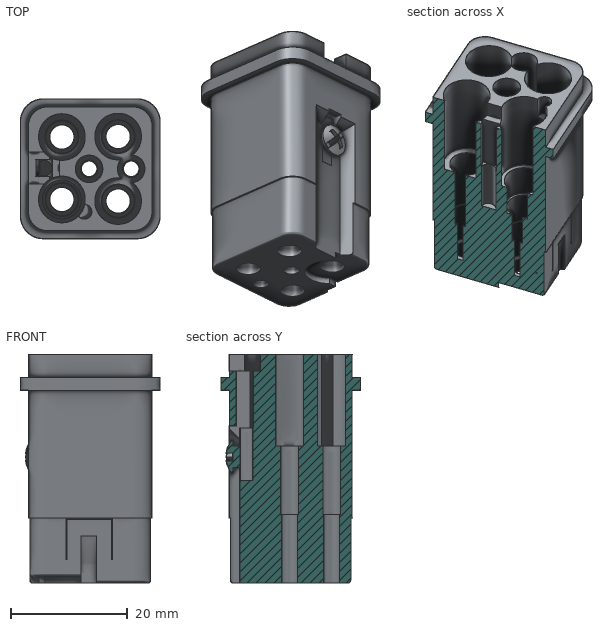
import cadquery as cq

TOTAL_HEIGHT = 39.2
FLANGE_WIDTH = 24.0
FLANGE_RADIUS = 3.95
FLANGE_BOTTOM = 33.05
FLANGE_TOP = 35.28
BODY_WIDTH = 21.15
BODY_RADIUS = 3.15
FOOT_STEP = 0.255
FOOT_HEIGHT = 11.15
FOOT_EDGE_RADIUS = 0.5

BODY_FACE = BODY_WIDTH / 2
FOOT_FACE = BODY_FACE - FOOT_STEP

RELIEF_HEIGHT = 1.1
RELIEF_X = -1.6
RELIEF_Y = -1.92
RELIEF_RADIUS = 4.3
RELIEF_CENTRE = (-4.63, -4.9)

CHANNEL_TOP = 26.5
CHANNEL_WIDTH = 9.7
CHANNEL_DEPTH = 1.8
CHANNEL_FLOOR_X = CHANNEL_DEPTH - BODY_FACE
CHANNEL_END = CHANNEL_TOP - CHANNEL_DEPTH

SCREW_Z = 21.65
SCREW_HEAD_RADIUS = 2.8
SCREW_APEX_X = -11.15
SCREW_RIM_X = -10.25
SCREW_SHANK_RADIUS = 1.9
SCREW_RIM_THICKNESS = 0.35
DRIVE_WIDTH = 0.85
DRIVE_CROSS_LENGTH = 3.45
DRIVE_CROSS_FLOOR_X = -9.95
DRIVE_SLOT_FLOOR_X = -10.3
DRIVE_ANGLE = 45

ENTRY_FLOOR = 36.38
ENTRY_Y = 0.1
ENTRY_WIDTH = 5.5
ENTRY_END_X = -5.25
POCKET_WIDTH = 2.9
POCKET_START_X = -9.33
POCKET_END_X = -6.45
POCKET_GAP_X = -7.0
POCKET_GAP_WIDTH = 4.3
TERMINAL_TOP = 26.6
WINDOW_TOP = 26.95
WIRE_HOLE_X = -7.88
WIRE_HOLE_RADIUS = 1.35
WIRE_HOLE_BOTTOM = 17.65
WIRE_HOLE_WALL = 0.15

POWER_STEPS = [(4.0, 23.52), (2.9, 11.75), (2.8, 3.92), (2.08, 0.0)]
EARTH_STEPS = [(4.0, 23.52), (3.35, 17.65)] + POWER_STEPS[1:]
SIGNAL_STEPS = [(2.35, 23.52), (1.5, 11.75), (1.35, 0.0)]
POWER_CENTRES = [(-4.85, 5.45), (4.8, 5.53), (4.8, -5.53)]
EARTH_CENTRE = (-4.85, -5.25)
SIGNAL_CENTRES = [(-0.2, 0.0), (7.0, 0.0)]
KEY_CENTRE = (-0.98, -7.35)
KEY_RADIUS = 1.25
KEY_DEPTH = 3.92

SLIT_LEFT = -4.15
SLIT_RIGHT = 3.8
SLIT_BOTTOM = 4.08
SLIT_WIDTH = 0.2
SLIT_DEPTH = 0.6
TONGUE_SLOT_RIGHT = 1.05
TONGUE_SLOT_TOP = 8.08
TONGUE_RAMP_BOTTOM = 3.35
TONGUE_SLOT_DEPTH = 0.9
TONGUE_SLOT_LIP = 0.1


def box(x_range, y_range, z_range):
    """Box between two limits along each axis."""
    spans = [high - low for low, high in (x_range, y_range, z_range)]
    corner = (x_range[0], y_range[0], z_range[0])
    return cq.Workplane("XY").box(*spans, centered=False).translate(corner)


def centred(middle, width):
    """Limits of a span of the given width around a middle."""
    return (middle - width / 2, middle + width / 2)


def rounded_block(width, radius, bottom, top):
    """Square block with rounded upright edges."""
    block = cq.Workplane("XY").workplane(offset=bottom).rect(width, width).extrude(top - bottom)
    return block.edges("|Z").fillet(radius)


def foot_block(bottom):
    """Foot with rounded bottom edges, starting at the given height."""
    block = rounded_block(2 * FOOT_FACE, BODY_RADIUS - FOOT_STEP, bottom, FOOT_HEIGHT)
    return block.faces("<Z").edges().fillet(FOOT_EDGE_RADIUS)


def foot():
    """Foot whose -X -Y corner stops above the base plane."""
    height = RELIEF_HEIGHT + FOOT_EDGE_RADIUS
    relief = box((-BODY_FACE, RELIEF_X), (-BODY_FACE, RELIEF_Y), (0, height))
    relief = relief.union(cq.Workplane("XY").center(*RELIEF_CENTRE).circle(RELIEF_RADIUS).extrude(height))
    return foot_block(0).cut(relief).union(foot_block(RELIEF_HEIGHT))


def housing():
    body = rounded_block(BODY_WIDTH, BODY_RADIUS, FOOT_HEIGHT, TOTAL_HEIGHT)
    flange = rounded_block(FLANGE_WIDTH, FLANGE_RADIUS, FLANGE_BOTTOM, FLANGE_TOP)
    return body.union(flange).union(foot())


def channel():
    """Channel with sides and upper end sloping inwards at 45 degrees."""
    half = CHANNEL_WIDTH / 2
    outline = [(-BODY_FACE, -half), (-BODY_FACE, half)]
    outline += [(CHANNEL_FLOOR_X, half - CHANNEL_DEPTH), (CHANNEL_FLOOR_X, CHANNEL_DEPTH - half)]
    groove = cq.Workplane("XY").polyline(outline).close().extrude(CHANNEL_TOP)
    slope = [
        (-BODY_FACE, 0),
        (-BODY_FACE, CHANNEL_TOP),
        (CHANNEL_FLOOR_X, CHANNEL_END),
        (CHANNEL_FLOOR_X, 0),
    ]
    profile = cq.Workplane("XZ").polyline(slope).close().extrude(half, both=True)
    return groove.intersect(profile)


def stepped_bore(centre, steps):
    """Coaxial cylinders, each reaching from the top face to its own floor."""
    bore = cq.Workplane("XY")
    for radius, floor in steps:
        step = cq.Workplane("XY").workplane(offset=floor).center(*centre).circle(radius)
        bore = bore.union(step.extrude(TOTAL_HEIGHT - floor))
    return bore


def contact_bores():
    bores = stepped_bore(EARTH_CENTRE, EARTH_STEPS)
    for centre in POWER_CENTRES:
        bores = bores.union(stepped_bore(centre, POWER_STEPS))
    for centre in SIGNAL_CENTRES:
        bores = bores.union(stepped_bore(centre, SIGNAL_STEPS))
    return bores.union(stepped_bore(KEY_CENTRE, [(KEY_RADIUS, TOTAL_HEIGHT - KEY_DEPTH)]))


def wire_entry():
    """Slot in the top rim, pocket below it, window to the channel and wire hole."""
    width = centred(ENTRY_Y, POCKET_WIDTH)
    slot = box((-BODY_FACE, ENTRY_END_X), centred(ENTRY_Y, ENTRY_WIDTH), (ENTRY_FLOOR, TOTAL_HEIGHT))
    pocket = box((POCKET_START_X, POCKET_END_X), width, (TERMINAL_TOP, ENTRY_FLOOR))
    gap = box((POCKET_GAP_X, POCKET_END_X), centred(ENTRY_Y, POCKET_GAP_WIDTH), (TERMINAL_TOP, ENTRY_FLOOR))
    window = terminal_window()
    return slot.union(pocket).union(gap).union(window).union(wire_hole())


def terminal_window():
    """Opening above the channel that bares the terminal, flush with the channel floor."""
    width = centred(ENTRY_Y, POCKET_WIDTH)
    lower = box((-BODY_FACE, CHANNEL_FLOOR_X), width, (CHANNEL_END, TERMINAL_TOP))
    upper = box((-BODY_FACE, POCKET_END_X), width, (TERMINAL_TOP, WINDOW_TOP))
    return lower.union(upper)


def wire_hole():
    """Blind hole in the terminal, flattened to leave a wall towards the channel."""
    hole = stepped_bore((WIRE_HOLE_X, ENTRY_Y), [(WIRE_HOLE_RADIUS, WIRE_HOLE_BOTTOM)])
    wall = (-BODY_FACE, CHANNEL_FLOOR_X + WIRE_HOLE_WALL)
    return hole.cut(box(wall, centred(ENTRY_Y, POCKET_WIDTH), (0, TERMINAL_TOP)))


def screw():
    """Domed screw along X with a cross recess and a full-width driver slot."""
    underside = SCREW_RIM_X + SCREW_RIM_THICKNESS
    profile = (
        cq.Workplane("XZ")
        .moveTo(SCREW_APEX_X, 0)
        .radiusArc((SCREW_RIM_X, SCREW_HEAD_RADIUS), dome_radius())
        .lineTo(underside, SCREW_HEAD_RADIUS)
        .lineTo(underside, SCREW_SHANK_RADIUS)
        .lineTo(CHANNEL_FLOOR_X, SCREW_SHANK_RADIUS)
        .lineTo(CHANNEL_FLOOR_X, 0)
        .close()
    )
    solid = profile.revolve(360, (0, 0, 0), (1, 0, 0))
    arm = centred(0, DRIVE_WIDTH)
    cross = centred(0, DRIVE_CROSS_LENGTH)
    full = centred(0, 2 * SCREW_HEAD_RADIUS)
    drive = box((SCREW_APEX_X, DRIVE_CROSS_FLOOR_X), arm, cross)
    drive = drive.union(box((SCREW_APEX_X, DRIVE_CROSS_FLOOR_X), cross, arm))
    drive = drive.union(box((SCREW_APEX_X, DRIVE_SLOT_FLOOR_X), arm, full))
    drive = drive.rotate((0, 0, 0), (1, 0, 0), DRIVE_ANGLE)
    return solid.cut(drive).translate((0, 0, SCREW_Z))


def dome_radius():
    """Radius of the sphere through the apex and the rim of the screw head."""
    sag = SCREW_RIM_X - SCREW_APEX_X
    return (SCREW_HEAD_RADIUS**2 + sag**2) / (2 * sag)


def tongue_slit():
    depth = (-FOOT_FACE, SLIT_DEPTH - FOOT_FACE)
    height = (SLIT_BOTTOM, FOOT_HEIGHT)
    outer = box((SLIT_LEFT, SLIT_RIGHT), depth, height)
    inner_height = (SLIT_BOTTOM, FOOT_HEIGHT - SLIT_WIDTH)
    return outer.cut(box((SLIT_LEFT + SLIT_WIDTH, SLIT_RIGHT - SLIT_WIDTH), depth, inner_height))


def tongue_slot():
    """Slot open at the bottom whose floor ramps out to a small lip at its top."""
    floor = TONGUE_SLOT_DEPTH - FOOT_FACE
    outline = [
        (-FOOT_FACE, 0),
        (floor, 0),
        (floor, TONGUE_RAMP_BOTTOM),
        (TONGUE_SLOT_LIP - FOOT_FACE, TONGUE_SLOT_TOP),
        (-FOOT_FACE, TONGUE_SLOT_TOP),
    ]
    slot = cq.Workplane("YZ").workplane(offset=RELIEF_X).polyline(outline).close()
    return slot.extrude(TONGUE_SLOT_RIGHT - RELIEF_X)


result = (
    housing()
    .cut(channel())
    .cut(contact_bores())
    .cut(wire_entry())
    .union(screw())
    .cut(tongue_slit())
    .cut(tongue_slot())
)